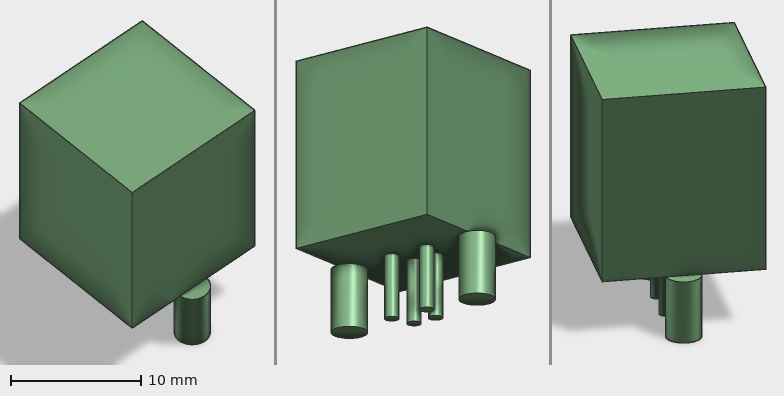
import cadquery as cq

total_height = 20.35
total_width = 15.3
housing_side = 12.8
leg_length = 5.1
peg_diameter = 2.8
pin_diameter = 1.1

front_pin_x = 1.05
front_pin_y = -1.45
rear_pin_x = 1.7
rear_pin_y = 0.5

housing_height = total_height - leg_length
peg_x = (total_width - peg_diameter) / 2


def make_housing():
    """Plain square block with its underside at Z = 0."""
    return cq.Workplane("XY").rect(housing_side, housing_side).extrude(housing_height)


def make_leg(diameter, x, y):
    """Round leg hanging from the underside plane of the housing."""
    return cq.Workplane("XY").center(x, y).circle(diameter / 2).extrude(-leg_length)


def make_peg(x):
    """Thick locating peg that overhangs the side of the housing."""
    return make_leg(peg_diameter, x, 0)


def make_pin(x, y):
    """Thin contact pin."""
    return make_leg(pin_diameter, x, y)


housing = make_housing()

pegs = []
pins = []
for side in (-1, 1):
    pegs.append(make_peg(side * peg_x).val())
    pins.append(make_pin(side * front_pin_x, front_pin_y).val())
    pins.append(make_pin(side * rear_pin_x, rear_pin_y).val())

result = cq.Compound.makeCompound([housing.val(), *pegs, *pins])